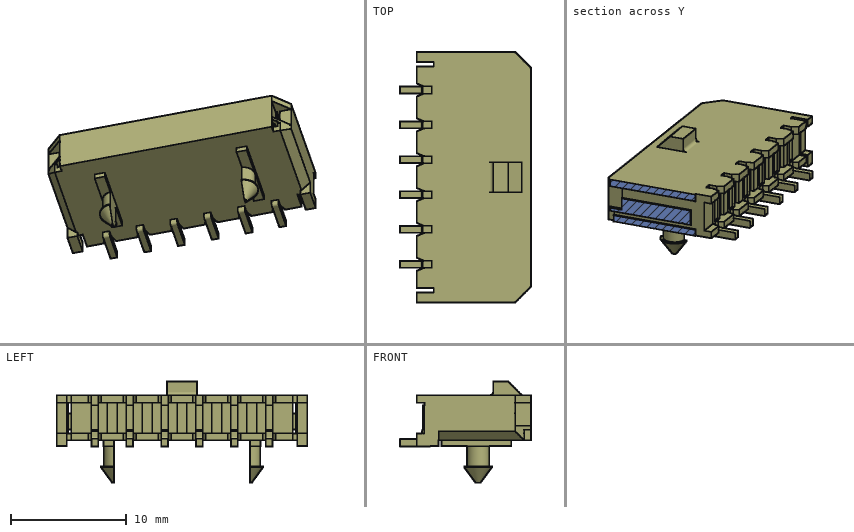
import cadquery as cq


width = 21.65
length = 9.9
bottom_z = 0.55
top_z = 4.44
half_width = width / 2
corner_chamfer = 1.39
edge_chamfer = 0.78

lower_lip_top = 1.15
upper_lip_bottom = 3.77
wall_inset = 0.67
channel_inset = 0.97
channel_width = 0.85

pin_count = 6
pitch = 3.0
pin_width = 0.6
pin_overhang = 1.45
pin_slot_depth = 1.32
pin_thickness = 0.67
pin_top = 3.57
pin_front = 0.52
step_height = 1.35
step_out = 0.06
step_rise = 0.13
pin_bend = 0.22
inner_bend = 0.2
edge_round = 0.09
pin_ys = [(i - (pin_count - 1) / 2) * pitch for i in range(pin_count)]
channel_ys = [y + pitch / 2 for y in pin_ys[:-1]]

mouth_depth = 0.6
mouth_width = 1.13

end_slot_inner = 9.57
end_slot_depth = 1.47
passage_outer = 9.83
bridge_bottom = 1.47
bridge_top = 2.85
bridge_start = 1.9

notch_bottom = 1.8

foot_length = 1.9
foot_width = 0.89
foot_bottom = 0.05
peg_axis_y = 5.8
peg_inner_y = 5.87
peg_x = 5.3
peg_radius = 0.97
barb_radius = 1.21
barb_tip_radius = 0.22
barb_z = -1.7
barb_rim = 0.06
peg_tip_z = -3.15
rib_start = 2.15
rib_end = 8.18

latch_width = 2.6
latch_rear = 6.6
latch_flat = 1.3
latch_top = 5.63
latch_fillet = 0.28


def box(x0, x1, y0, y1, z0, z1):
    """Axis-aligned block between two limits on each axis."""
    return cq.Workplane("XY").box(x1 - x0, y1 - y0, z1 - z0, centered=False).translate((x0, y0, z0))


def both_ends(shape):
    """The shape together with its mirror image across the mid-plane Y = 0."""
    return shape.union(shape.mirror("XZ"))


def make_shell():
    """Solid housing with chamfered front corners and lower end edges."""
    shell = box(0, length, -half_width, half_width, bottom_z, top_z)
    lower_edges = (
        cq.Workplane("YZ")
        .polyline([
            (half_width, bottom_z),
            (half_width - edge_chamfer, bottom_z),
            (half_width, bottom_z + edge_chamfer),
        ])
        .close()
        .extrude(length)
    )
    shell = shell.edges("|Z and >X").chamfer(corner_chamfer)
    return shell.cut(both_ends(lower_edges))


def make_feet():
    """Rear corner feet that carry the housing above the board."""
    foot = box(0, foot_length, half_width - foot_width, half_width, foot_bottom, lower_lip_top)
    corner = box(0, foot_length, half_width - foot_width, half_width, bottom_z, bottom_z + edge_chamfer)
    return both_ends(foot.union(corner))


def make_rear_recess():
    """Space between the lips, with a deeper channel midway between neighbouring pins."""
    recess = box(0, wall_inset, -half_width, half_width, lower_lip_top, upper_lip_bottom)
    for y in channel_ys:
        channel = box(0, channel_inset, y - channel_width / 2, y + channel_width / 2,
                      lower_lip_top, upper_lip_bottom)
        recess = recess.union(channel)
    return recess


def make_pin_slot(y):
    """Full-height slot for one pin, with its flared mouth."""
    slot = box(0, pin_slot_depth, y - pin_width / 2, y + pin_width / 2, bottom_z, top_z)
    mouth = (
        cq.Workplane("XY", origin=(0, y, bottom_z))
        .polyline([
            (0, -mouth_width / 2),
            (mouth_depth, -pin_width / 2),
            (mouth_depth, pin_width / 2),
            (0, mouth_width / 2),
        ])
        .close()
        .extrude(top_z - bottom_z)
    )
    return slot.union(mouth)


def make_end_openings():
    """Slots beside the feet and the passages leading from them to the front corners."""
    slot = box(0, end_slot_depth, end_slot_inner, half_width - foot_width, bottom_z, top_z)
    passage = box(0, length, end_slot_inner, passage_outer, lower_lip_top, upper_lip_bottom)
    bridge = box(bridge_start, length, end_slot_inner, passage_outer, bridge_bottom, bridge_top)
    return both_ends(slot.union(passage.cut(bridge)))


def make_corner_notches():
    """Square notches that cut the front corner chamfers back to a flat end face."""
    floor_y = half_width - corner_chamfer
    corner_x = length - corner_chamfer
    notch = box(corner_x, length, floor_y, half_width, notch_bottom, upper_lip_bottom)
    low_notch = box(corner_x + edge_chamfer, length, floor_y, half_width, bottom_z, bridge_bottom)
    return both_ends(notch.union(low_notch))


def make_pin(y):
    """Bent pin: an upright leg in the housing slot and a flat tail on the board."""
    foot_front = pin_front - step_out
    pin = (
        cq.Workplane("XZ")
        .polyline([
            (-pin_overhang, 0),
            (pin_slot_depth, 0),
            (pin_slot_depth, pin_top),
            (pin_front, pin_top),
            (pin_front, step_height + step_rise),
            (foot_front, step_height),
            (foot_front, pin_thickness),
            (-pin_overhang, pin_thickness),
        ])
        .close()
        .extrude(pin_width / 2, both=True)
    )
    pin = pin.edges("|Y and >X and <Z").fillet(pin_bend)
    pin = pin.edges("|Y and (<X or >Z)").fillet(edge_round)
    inner_corner = cq.selectors.NearestToPointSelector((foot_front, 0, pin_thickness))
    pin = pin.edges(inner_corner).fillet(inner_bend)
    return pin.translate((0, y, 0))


def make_pegs():
    """Half-round snap pegs with rimmed conical barbs, each under a seating rib."""
    peg = (
        cq.Workplane("XZ")
        .polyline([
            (0, foot_bottom),
            (peg_radius, foot_bottom),
            (peg_radius, barb_z),
            (barb_radius, barb_z),
            (barb_radius, barb_z - barb_rim),
            (barb_tip_radius, peg_tip_z),
            (0, peg_tip_z),
        ])
        .close()
        .revolve(360, (0, 0, 0), (0, 1, 0))
        .translate((peg_x, peg_axis_y, 0))
    )
    outer_half = box(peg_x - barb_radius, peg_x + barb_radius,
                     peg_inner_y, peg_axis_y + barb_radius, peg_tip_z, foot_bottom)
    rib = box(rib_start, rib_end, peg_inner_y, peg_axis_y + peg_radius, foot_bottom, bottom_z)
    return both_ends(peg.intersect(outer_half).union(rib))


def make_latch():
    """Wedge on the top face: upright at the rear, sloping at 45 degrees to the front."""
    ramp_start = latch_rear + latch_flat
    latch_height = latch_top - top_z
    return (
        cq.Workplane("XZ")
        .moveTo(latch_rear - latch_fillet, top_z)
        .radiusArc((latch_rear, top_z + latch_fillet), -latch_fillet)
        .lineTo(latch_rear, latch_top)
        .lineTo(ramp_start, latch_top)
        .lineTo(ramp_start + latch_height, top_z)
        .close()
        .extrude(latch_width / 2, both=True)
    )


housing = make_shell().union(make_feet())
housing = housing.cut(make_rear_recess()).cut(make_end_openings()).cut(make_corner_notches())
for pin_y in pin_ys:
    housing = housing.cut(make_pin_slot(pin_y))
for pin_y in pin_ys:
    housing = housing.union(make_pin(pin_y))
result = housing.union(make_pegs()).union(make_latch())